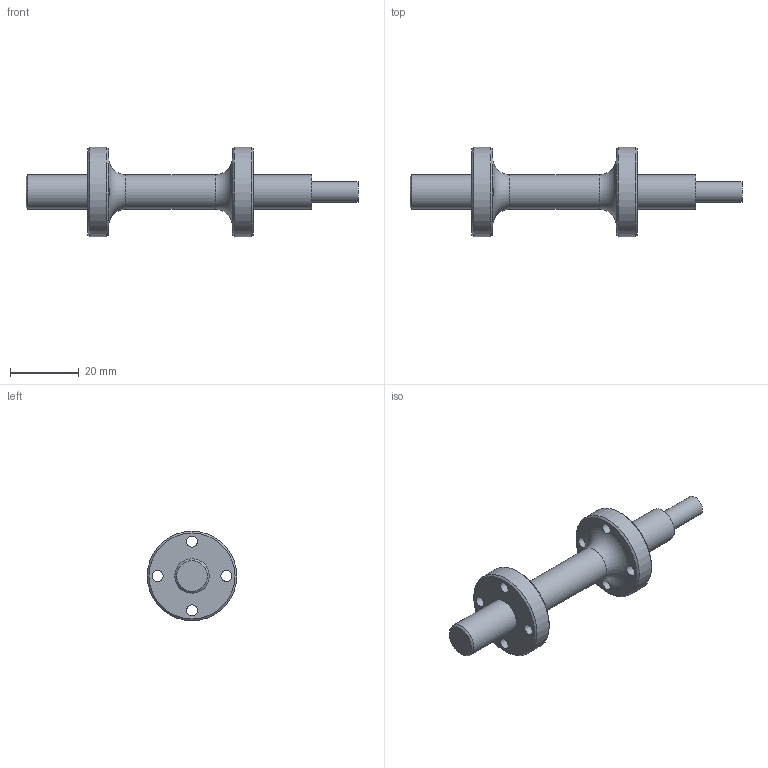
import cadquery as cq
import math

total_length = 96.5
shaft_diameter = 10.0
journal_diameter = 6.0
journal_length = 13.5
shaft_length = total_length - journal_length
shaft_end_chamfer = 0.5

flange_diameter = 26.0
flange_thickness = 6.0
first_flange_start = 18.0
flange_gap = 36.0
second_flange_start = first_flange_start + flange_thickness + flange_gap
flange_edge_chamfer = 0.5
flare_radius = 5.0

bolt_circle_diameter = 20.0
bolt_hole_diameter = 3.2
bolt_hole_count = 4


def cylinder_along_x(start, length, diameter):
    """Solid cylinder on the X axis."""
    return cq.Workplane("YZ", origin=(start, 0, 0)).circle(diameter / 2).extrude(length)


def shaft():
    """Main shaft with a chamfered free end and a thinner journal at the other."""
    body = cylinder_along_x(0, shaft_length, shaft_diameter).faces("<X").chamfer(shaft_end_chamfer)
    return body.union(cylinder_along_x(shaft_length, journal_length, journal_diameter))


def flange(start):
    """Disc with both rims chamfered."""
    disc = cylinder_along_x(start, flange_thickness, flange_diameter)
    return disc.faces("<X or >X").edges().chamfer(flange_edge_chamfer)


def flare(face_x, direction):
    """Concave quarter-round ring from a flange face down to the shaft; direction is +1 or -1 along X."""
    shaft_radius = shaft_diameter / 2
    outer_radius = shaft_radius + flare_radius
    tip_x = face_x + direction * flare_radius
    arc_offset = flare_radius * (1 - math.cos(math.pi / 4))
    arc_middle = (face_x + direction * arc_offset, shaft_radius + arc_offset)
    profile = (
        cq.Workplane("XY")
        .moveTo(face_x, 0)
        .lineTo(face_x, outer_radius)
        .threePointArc(arc_middle, (tip_x, shaft_radius))
        .lineTo(tip_x, 0)
        .close()
    )
    return profile.revolve(360, (0, 0, 0), (1, 0, 0))


def bolt_holes():
    """Cutters on the bolt circle, running parallel to the shaft through both flanges."""
    return (
        cq.Workplane("YZ")
        .polarArray(bolt_circle_diameter / 2, 0, 360, bolt_hole_count)
        .circle(bolt_hole_diameter / 2)
        .extrude(total_length)
    )


result = (
    shaft()
    .union(flange(first_flange_start))
    .union(flange(second_flange_start))
    .union(flare(first_flange_start + flange_thickness, 1))
    .union(flare(second_flange_start, -1))
    .cut(bolt_holes())
)